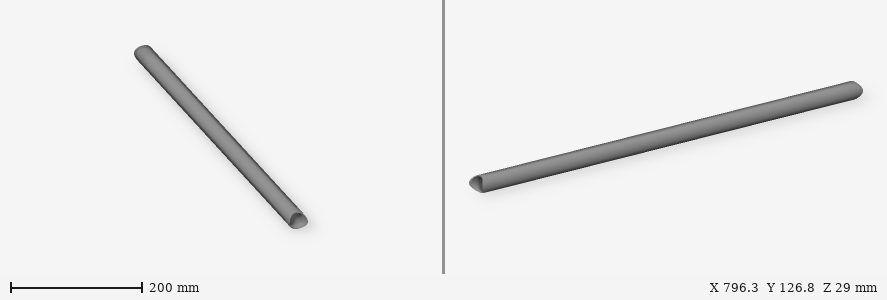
import cadquery as cq
import math

overall_length = 795.0
tube_diameter = 29.0
wall = 1.5
turn_angle = -7.05

post_radius = 15.5
cope_depth = 9.5
left_lean = 8.0
right_lean = 6.0
end_trim = 1.75
post_side_offset = -0.3

tube_radius = tube_diameter / 2
slope = math.tan(math.radians(turn_angle))
post_height = 4 * tube_diameter
stock_length = overall_length + 4 * tube_diameter

left_post_x = -overall_length / 2 + cope_depth - post_radius + end_trim
right_post_x = overall_length / 2 - cope_depth + post_radius - end_trim


def make_tube():
    """Hollow stock, longer than the finished tube, centred on the origin."""
    stock = (
        cq.Workplane("YZ")
        .circle(tube_radius)
        .circle(tube_radius - wall)
        .extrude(stock_length / 2, both=True)
    )
    return stock.rotate((0, 0, 0), (0, 0, 1), turn_angle)


def make_end_cutter(post_x, outward, lean):
    """Post plus the waste beyond its axis, leaning outward at the top."""
    post = cq.Workplane("XY").circle(post_radius).extrude(post_height / 2, both=True)
    waste_length = stock_length / 2
    waste = cq.Workplane("XY").box(waste_length, post_height, post_height)
    waste = waste.translate((outward * waste_length / 2, 0, 0))
    cutter = post.union(waste).rotate((0, 0, 0), (0, 1, 0), outward * lean)
    return cutter.translate((post_x, post_x * slope + post_side_offset, 0))


result = (
    make_tube()
    .cut(make_end_cutter(left_post_x, -1, left_lean))
    .cut(make_end_cutter(right_post_x, 1, right_lean))
)